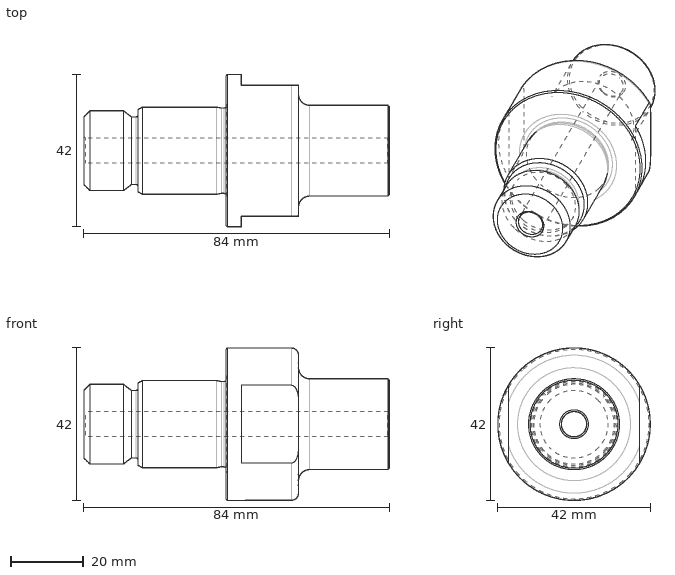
import cadquery as cq
import math

length = 84.0

nose_radius = 11.0
nose_chamfer = 1.7
nose_end = 10.9

groove_radius = 9.3
groove_start = 13.1
groove_end = 14.9
groove_fillet = 0.5

shaft_radius = 12.0
shaft_chamfer_length = 1.3
shaft_chamfer_height = 0.7

relief_start = 36.5
relief_floor_start = 37.8
relief_radius = 11.8
relief_fillet = 0.8
relief_face_depth = 0.25
relief_face_radius = 13.9

collar_start = 39.1
collar_end = 59.05
collar_radius = 21.0
collar_chamfer = 0.4
collar_fillet = 2.0

flat_start = 43.35
flat_distance = 18.1

spigot_radius = 12.5
spigot_fillet = 3.0
spigot_chamfer = 0.4

bore_radius = 3.45
bore_chamfer = 0.5

quarter_sine = math.sin(math.radians(45))


def turned_body():
    """Revolve the half profile, drawn with X along the axis and Y as radius."""
    groove_corner = groove_end - groove_fillet
    relief_bottom = collar_start + relief_face_depth
    relief_corner = relief_bottom - relief_fillet
    collar_corner = collar_end - collar_fillet
    collar_shoulder = collar_radius - collar_fillet
    spigot_corner = collar_end + spigot_fillet
    spigot_shoulder = spigot_radius + spigot_fillet

    profile = (
        cq.Workplane("XY")
        .moveTo(0, 0)
        .lineTo(0, nose_radius - nose_chamfer)
        .lineTo(nose_chamfer, nose_radius)
        .lineTo(nose_end, nose_radius)
        .lineTo(groove_start, groove_radius)
        .lineTo(groove_corner, groove_radius)
        .threePointArc(
            (groove_corner + groove_fillet * quarter_sine, groove_radius + groove_fillet * (1 - quarter_sine)),
            (groove_end, groove_radius + groove_fillet),
        )
        .lineTo(groove_end, shaft_radius - shaft_chamfer_height)
        .lineTo(groove_end + shaft_chamfer_length, shaft_radius)
        .lineTo(relief_start, shaft_radius)
        .lineTo(relief_floor_start, relief_radius)
        .lineTo(relief_corner, relief_radius)
        .threePointArc(
            (relief_corner + relief_fillet * quarter_sine, relief_radius + relief_fillet * (1 - quarter_sine)),
            (relief_bottom, relief_radius + relief_fillet),
        )
        .lineTo(collar_start, relief_face_radius)
        .lineTo(collar_start, collar_radius - collar_chamfer)
        .lineTo(collar_start + collar_chamfer, collar_radius)
        .lineTo(collar_corner, collar_radius)
        .threePointArc(
            (collar_corner + collar_fillet * quarter_sine, collar_shoulder + collar_fillet * quarter_sine),
            (collar_end, collar_shoulder),
        )
        .lineTo(collar_end, spigot_shoulder)
        .threePointArc(
            (spigot_corner - spigot_fillet * quarter_sine, spigot_shoulder - spigot_fillet * quarter_sine),
            (spigot_corner, spigot_radius),
        )
        .lineTo(length - spigot_chamfer, spigot_radius)
        .lineTo(length, spigot_radius - spigot_chamfer)
        .lineTo(length, 0)
        .close()
    )
    return profile.revolve(360, (0, 0, 0), (1, 0, 0))


def flat_cutter(side):
    """Block outside one wrench flat; side is +1 or -1 along Y."""
    depth = collar_radius - flat_distance
    return cq.Workplane("XY").box(
        collar_end - flat_start, depth, 2 * collar_radius, centered=(False, True, True)
    ).translate((flat_start, side * (flat_distance + depth / 2), 0))


def bore_cutter():
    """Through bore with a chamfered mouth at each end."""
    mouth_radius = bore_radius + bore_chamfer
    return (
        cq.Workplane("XY")
        .moveTo(0, 0)
        .lineTo(0, mouth_radius)
        .lineTo(bore_chamfer, bore_radius)
        .lineTo(length - bore_chamfer, bore_radius)
        .lineTo(length, mouth_radius)
        .lineTo(length, 0)
        .close()
        .revolve(360, (0, 0, 0), (1, 0, 0))
    )


result = turned_body()
for flat_side in (-1, 1):
    result = result.cut(flat_cutter(flat_side))
result = result.cut(bore_cutter())